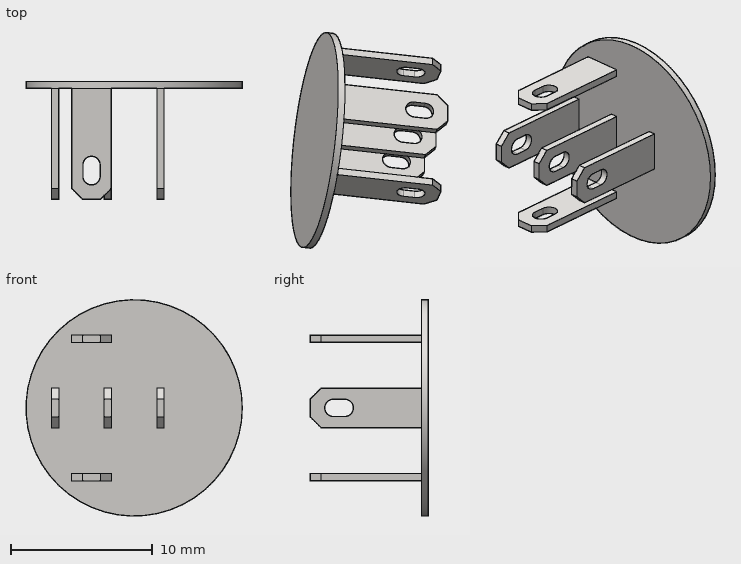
import cadquery as cq

quarter_turn = 90

disc_diameter = 15.24
disc_thickness = 0.49

overall_depth = 8.31
lug_length = overall_depth - disc_thickness
lug_width = 2.8
lug_thickness = 0.52
lug_tip_chamfer = 0.77

eye_length = 2.0
eye_width = 1.2
eye_center_to_tip = 2.03

row_pitch = 3.71
row_center_x = -row_pitch / 2
row_count = 3

pair_x = -3.0
pair_offset_z = 4.87


def make_disc():
    """Disc from Y = 0 to Y = disc_thickness."""
    return cq.Workplane("XZ").circle(disc_diameter / 2).extrude(-disc_thickness)


def make_flat_lug():
    """Lug centred on the Y axis, its broad faces square to Z, its root at Y = 0."""
    blade = (
        cq.Workplane("XY")
        .box(lug_width, lug_length, lug_thickness)
        .translate((0, -lug_length / 2, 0))
        .edges("<Y and |Z")
        .chamfer(lug_tip_chamfer)
    )
    eye = (
        cq.Workplane("XY")
        .center(0, eye_center_to_tip - lug_length)
        .slot2D(eye_length, eye_width, quarter_turn)
        .extrude(lug_thickness, both=True)
    )
    return blade.cut(eye)


flat_lug = make_flat_lug()
upright_lug = flat_lug.rotate((0, 0, 0), (0, 1, 0), quarter_turn)

result = make_disc()

for index in range(row_count):
    lug_x = row_center_x + (index - (row_count - 1) / 2) * row_pitch
    result = result.union(upright_lug.translate((lug_x, 0, 0)))

for side in (-1, 1):
    result = result.union(flat_lug.translate((pair_x, 0, side * pair_offset_z)))